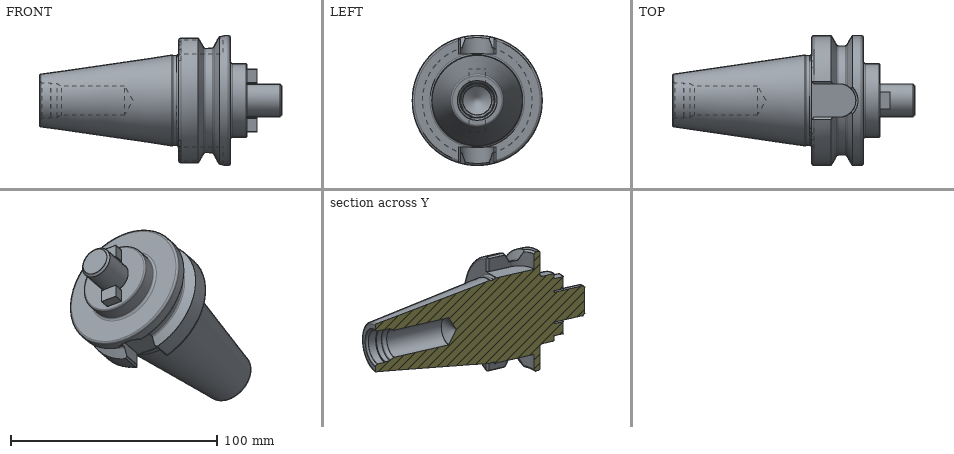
import cadquery as cq
import math

total_length = 117.4
flange_start = 67.4
flange_end = 92.4
boss_end = 100.4
key_end = 105.4

gauge_plane = 65.4
gauge_diameter = 44.5
taper_slope = 7 / 24 / 2
taper_end = 64.1
small_end_radius = gauge_diameter / 2 - taper_slope * gauge_plane
taper_end_radius = small_end_radius + taper_slope * taper_end
small_end_fillet = 0.8

relief_radius = 21.8
relief_start = 64.8
relief_fillet = 1.0

flange_diameter = 63.0
flange_radius = flange_diameter / 2
flange_fillet = 1.0
groove_center = 82.0
groove_width = 10.2
groove_diameter = 53.1
groove_radius = groove_diameter / 2
groove_corner_fillet = 0.8
groove_flank_angle = 30
groove_flank = math.tan(math.radians(groove_flank_angle))
groove_floor_width = groove_width - 2 * (flange_radius - groove_radius) * groove_flank

slot_width = 16.2
slot_floor = 22.5
slot_arc_center = 80.7
slot_chamfer = 1.0

boss_diameter = 35.8
boss_radius = boss_diameter / 2
boss_base_fillet = 1.2
boss_rim_fillet = 0.7
key_width = 8.2
key_inner = 8.6
key_outer = 15.1
pilot_diameter = 16.0
pilot_radius = pilot_diameter / 2
pilot_chamfer = 1.0

mouth_radius = 9.6
mouth_chamfer = 0.2
guide_radius = 8.6
guide_start = 1.2
guide_end = 5.3
seat_radius = 8.3
seat_end = 8.3
lead_in_radius = 8.0
core_radius = 7.0
core_start = 10.6
core_depth = 41.1
drill_point_half_angle = 59

match_tolerance = 0.001


def revolve_about_axis(points):
    """Turn a closed (x, radius) outline about the X axis."""
    return cq.Workplane("XY").polyline(points).close().revolve(360, (0, 0, 0), (1, 0, 0))


def circle_edges(body, x, radius):
    """Circular edges of the given radius lying at station x."""

    def matches(edge):
        at_station = abs(edge.Center().x - x) < match_tolerance
        return at_station and abs(edge.radius() - radius) < match_tolerance

    return body.edges("%CIRCLE").filter(matches)


def turned_body():
    """Taper, flange, boss and pilot turned in one piece, with rounded edges."""
    half_opening = groove_width / 2
    half_floor = groove_floor_width / 2
    body = revolve_about_axis([
        (0, 0),
        (0, small_end_radius),
        (taper_end, taper_end_radius),
        (relief_start, relief_radius),
        (flange_start, relief_radius),
        (flange_start, flange_radius),
        (groove_center - half_opening, flange_radius),
        (groove_center - half_floor, groove_radius),
        (groove_center + half_floor, groove_radius),
        (groove_center + half_opening, flange_radius),
        (flange_end, flange_radius),
        (flange_end, boss_radius),
        (boss_end, boss_radius),
        (boss_end, pilot_radius),
        (total_length, pilot_radius),
        (total_length, 0),
    ])
    rounded_edges = [
        (0, small_end_radius, small_end_fillet),
        (flange_start, relief_radius, relief_fillet),
        (flange_start, flange_radius, flange_fillet),
        (groove_center - half_floor, groove_radius, groove_corner_fillet),
        (groove_center + half_floor, groove_radius, groove_corner_fillet),
        (flange_end, flange_radius, flange_fillet),
        (flange_end, boss_radius, boss_base_fillet),
        (boss_end, boss_radius, boss_rim_fillet),
    ]
    for x, radius, fillet in rounded_edges:
        body = circle_edges(body, x, radius).fillet(fillet)
    return circle_edges(body, total_length, pilot_radius).chamfer(pilot_chamfer)


def drawbar_bore():
    """Volume removed from the small end of the taper."""
    drill_point = core_radius / math.tan(math.radians(drill_point_half_angle))
    return revolve_about_axis([
        (0, 0),
        (0, mouth_radius),
        (mouth_chamfer, mouth_radius - mouth_chamfer),
        (guide_start, guide_radius),
        (guide_end, guide_radius),
        (guide_end + guide_radius - seat_radius, seat_radius),
        (seat_end, seat_radius),
        (seat_end + seat_radius - lead_in_radius, lead_in_radius),
        (core_start, core_radius),
        (core_depth, core_radius),
        (core_depth + drill_point, 0),
    ])


def upper_slot():
    """Slot on the +Z side: straight walls, round end, chamfered mouth."""
    half = slot_width / 2
    height = flange_radius
    slot = (
        cq.Workplane("XY", origin=(0, 0, slot_floor))
        .moveTo(flange_start, -half)
        .lineTo(slot_arc_center, -half)
        .threePointArc((slot_arc_center + half, 0), (slot_arc_center, half))
        .lineTo(flange_start, half)
        .close()
        .extrude(height)
    )
    front_bevel = (
        cq.Workplane("XY", origin=(0, 0, slot_floor))
        .polyline([
            (flange_start, -half - slot_chamfer),
            (flange_start + slot_chamfer, -half),
            (flange_start + slot_chamfer, half),
            (flange_start, half + slot_chamfer),
        ])
        .close()
        .extrude(height)
    )
    wall_top = math.sqrt(flange_radius**2 - half**2)
    bevel_bottom = wall_top - slot_chamfer
    bevel_top = math.sqrt(flange_radius**2 - (half + slot_chamfer) ** 2)
    bevel_rise = bevel_top - bevel_bottom
    top_bevel = (
        cq.Workplane("YZ", origin=(flange_start, 0, 0))
        .polyline([
            (-half, bevel_bottom),
            (half, bevel_bottom),
            (half + 2 * slot_chamfer, bevel_bottom + 2 * bevel_rise),
            (-half - 2 * slot_chamfer, bevel_bottom + 2 * bevel_rise),
        ])
        .close()
        .extrude(groove_center - flange_start)
    )
    return slot.union(front_bevel).union(top_bevel)


def slot_end_edges(body):
    """Edges where the round slot ends meet the outside of the flange."""
    rim_start = groove_center + groove_width / 2
    rim_end = flange_end - flange_fillet
    mid_depth = (slot_floor + flange_radius) / 2

    def is_slot_end(edge):
        center = edge.Center()
        on_rim = rim_start < center.x < rim_end - match_tolerance
        return on_rim and abs(center.y) < match_tolerance and abs(center.z) > mid_depth

    return body.edges().filter(is_slot_end)


def drive_key(side):
    """Rectangular key on the boss face; side is 1 for +Z and -1 for -Z."""
    depth = key_outer - key_inner
    middle = side * (key_outer + key_inner) / 2
    length = key_end - boss_end
    key = cq.Workplane("XY").box(length, key_width, depth)
    return key.translate((boss_end + length / 2, 0, middle))


body = turned_body().cut(drawbar_bore())
slot = upper_slot()
body = body.cut(slot).cut(slot.mirror("XY"))
body = slot_end_edges(body).chamfer(slot_chamfer)
for side in (1, -1):
    body = body.union(drive_key(side))
result = body